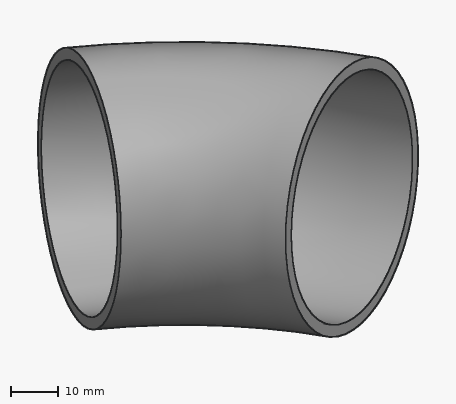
import cadquery as cq
import math

bend_angle = 45.0
overall_length = 75.05
outer_diameter = 60.3
wall = 2.6

outer_radius = outer_diameter / 2
inner_radius = outer_radius - wall
bend_radius = overall_length / math.sin(math.radians(bend_angle)) - outer_radius

axis_start = (bend_radius, 0)
axis_end = (bend_radius, -1)

result = (
    cq.Workplane("XZ")
    .circle(outer_radius)
    .circle(inner_radius)
    .revolve(bend_angle, axis_start, axis_end)
)